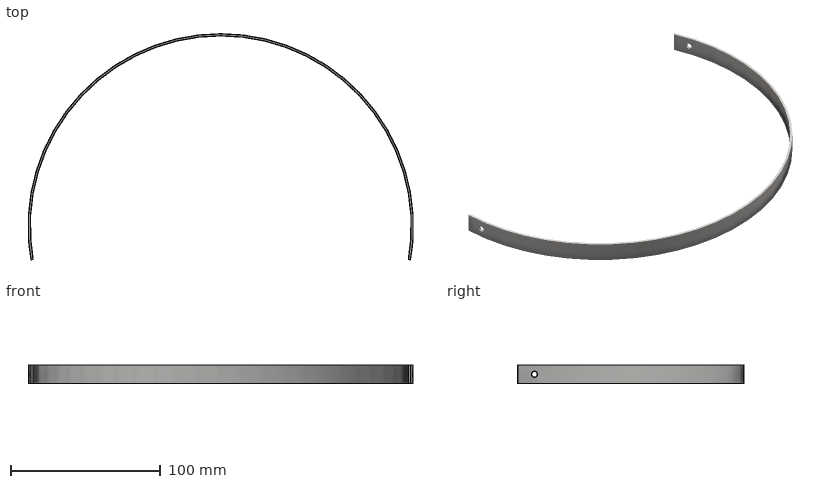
import cadquery as cq
import math

outer_radius = 128.5
thickness = 1.5
height = 12.5
end_angle = 10.0
hole_diameter = 3.9

inner_radius = outer_radius - thickness
hole_angle = end_angle / 2


def polar_point(radius, angle):
    """Point in the XY plane at an angle in degrees from +X."""
    radians = math.radians(angle)
    return (radius * math.cos(radians), radius * math.sin(radians))


def make_band():
    """Curved strip with radially cut ends, open toward -Y."""
    right_end = -end_angle
    left_end = 180 + end_angle
    return (
        cq.Workplane("XY")
        .moveTo(*polar_point(outer_radius, right_end))
        .threePointArc((0, outer_radius), polar_point(outer_radius, left_end))
        .lineTo(*polar_point(inner_radius, left_end))
        .threePointArc((0, inner_radius), polar_point(inner_radius, right_end))
        .close()
        .extrude(height)
    )


def make_hole_cutter(angle):
    """Radial cylinder crossing the strip at mid-height."""
    cutter_length = 4 * thickness
    start_radius = inner_radius - thickness
    start = cq.Vector(*polar_point(start_radius, angle), height / 2)
    direction = cq.Vector(*polar_point(1, angle), 0)
    return cq.Solid.makeCylinder(hole_diameter / 2, cutter_length, start, direction)


result = make_band()
for angle in (-hole_angle, 180 + hole_angle):
    result = result.cut(cq.Workplane(obj=make_hole_cutter(angle)))